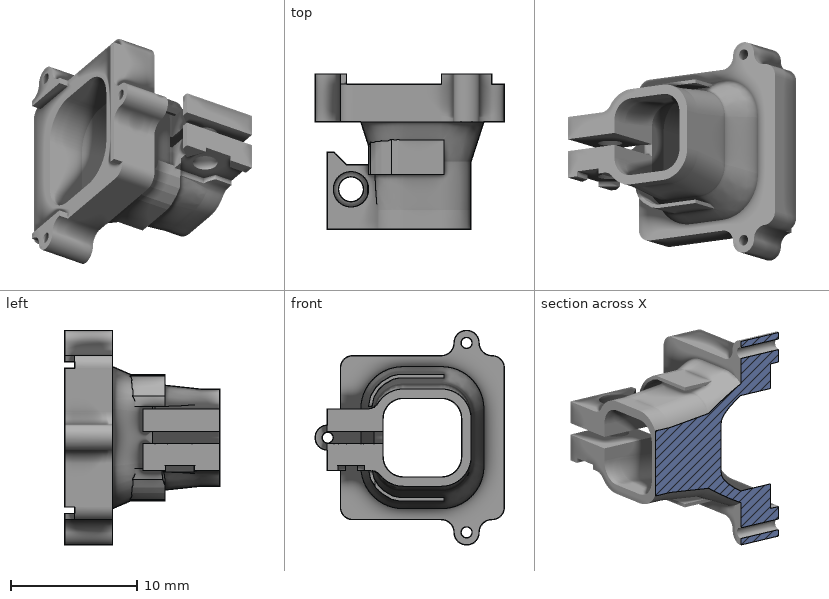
import cadquery as cq
import math


flange_side = 13.0
flange_corner_radius = 1.0
flange_depth = 3.8
recess_depth = 0.8
ear_radius = 1.0
ear_hole_diameter = 0.85
ear_offset = flange_side / 2 + ear_radius
ear_x = 3.5
rim_width = 0.5
side_lug_length = flange_side - 2 * flange_corner_radius

horn_length = 8.5
mouth_length = 1.5
waist_y = -3.16
taper_end_y = mouth_length - horn_length
horn_wall = 0.75
root_size = (9.75, 11.25)
waist_size = (7.7, 8.52)
mouth_size = (7.7, 7.7)
root_corner_radius = 3.35
neck_corner_radius = 2.33

clamp_left = -7.55
clamp_top = 2.28
clamp_bottom = -2.62
clamp_rear_y = -3.37
spur_y = -2.39
spur_tip_width = 0.55
slit_width = 0.96
blend_radius = 1.0

screw_x = -5.65
screw_y = -5.33
screw_hole_diameter = 1.95
screw_head_diameter = 2.8
screw_head_depth = 0.9
nut_across_flats = 3.9
nut_pocket_depth = 0.4
nut_slot_width = 2.1
nut_cut_height = 2.5

lip_thickness = 0.28
lip_start_y = -0.6
lip_front_y = -4.17
lip_end_x = 1.72
lip_top = 5.0
lip_corner_points = [
    (-1.9, lip_top),
    (-2.45, 4.88),
    (-3.23, 4.42),
    (-3.68, 3.98),
    (-4.1, 3.3),
    (-4.27, 2.45),
]


def section_at(y):
    """Workplane at the given y, with local x along +X and local y along +Z, extruding to -Y."""
    return cq.Workplane("XZ", origin=(0, y, 0))


def rounded_prism(size, corner_radius, y_start, y_end):
    block = section_at(y_start).rect(*size).extrude(y_start - y_end)
    return block.edges("|Y").fillet(corner_radius)


def rounded_rectangle(size, corner_radius):
    return cq.Sketch().rect(*size).vertices().fillet(corner_radius)


def rounded_taper(size_start, radius_start, y_start, size_end, radius_end, y_end):
    start = rounded_rectangle(size_start, radius_start)
    end = rounded_rectangle(size_end, radius_end).moved(cq.Location(cq.Vector(0, 0, y_start - y_end)))
    return section_at(y_start).placeSketch(start, end).loft(ruled=True)


def shrink(size, amount):
    return tuple(side - 2 * amount for side in size)


def make_ear():
    """Ear on the +Z edge at x = 0, flared into the flange by concave arcs of the ear radius."""
    edge = flange_side / 2
    arc_shift = ear_radius * math.sqrt(0.5)
    inner_edge = edge - rim_width
    return (
        section_at(flange_depth)
        .moveTo(-2 * ear_radius, inner_edge)
        .lineTo(-2 * ear_radius, edge)
        .threePointArc((-2 * ear_radius + arc_shift, ear_offset - arc_shift), (-ear_radius, ear_offset))
        .threePointArc((0, ear_offset + ear_radius), (ear_radius, ear_offset))
        .threePointArc((2 * ear_radius - arc_shift, ear_offset - arc_shift), (2 * ear_radius, edge))
        .lineTo(2 * ear_radius, inner_edge)
        .close()
        .extrude(flange_depth)
    )


def make_flange():
    recess_y = flange_depth - recess_depth
    flange = rounded_prism((flange_side, flange_side), flange_corner_radius, recess_y, 0)
    side_lug = (
        section_at(flange_depth)
        .center((rim_width - flange_side) / 2, 0)
        .rect(rim_width, side_lug_length)
        .extrude(flange_depth)
    )
    top_ear = make_ear().translate((ear_x, 0, 0))
    side_ear = make_ear().rotate((0, 0, 0), (0, 1, 0), -90)
    flange = flange.union(side_lug).union(side_ear)
    flange = flange.union(top_ear).union(top_ear.mirror("XY"))
    ear_centres = [(ear_x, ear_offset), (ear_x, -ear_offset), (-ear_offset, 0)]
    holes = section_at(flange_depth).pushPoints(ear_centres).circle(ear_hole_diameter / 2).extrude(flange_depth)
    return flange.cut(holes)


def make_horn(inset):
    """Horn body drawn inward by the inset: zero for the outside, the wall for the bore."""
    root = shrink(root_size, inset)
    waist = shrink(waist_size, inset)
    mouth = shrink(mouth_size, inset)
    root_radius = root_corner_radius - inset
    neck_radius = neck_corner_radius - inset
    horn = rounded_taper(root, root_radius, 0, waist, neck_radius, waist_y)
    horn = horn.union(rounded_taper(waist, neck_radius, waist_y, mouth, neck_radius, taper_end_y))
    return horn.union(rounded_prism(mouth, neck_radius, taper_end_y, -horn_length))


def make_bore():
    """Horn bore, carried straight through the flange from the root of the horn."""
    root = shrink(root_size, horn_wall)
    return make_horn(horn_wall).union(rounded_prism(root, root_corner_radius - horn_wall, flange_depth, 0))


def make_clamp():
    """Clamp block whose rear corner runs out into a spur with a 45 degree flank."""
    bore_left = horn_wall - mouth_size[0] / 2
    spur_right = clamp_left + spur_tip_width
    spur_height = spur_y - clamp_rear_y
    return (
        cq.Workplane("XY", origin=(0, 0, clamp_bottom))
        .moveTo(clamp_left, -horn_length)
        .lineTo(clamp_left, spur_y)
        .lineTo(spur_right, spur_y)
        .lineTo(spur_right + spur_height, clamp_rear_y)
        .lineTo(bore_left, clamp_rear_y)
        .lineTo(bore_left, -horn_length)
        .close()
        .extrude(clamp_top - clamp_bottom)
    )


def make_blend(clamp_height):
    """Concave strip joining the clamp face at z = clamp_height to the round horn corner above it."""
    corner_x = -mouth_size[0] / 2 + neck_corner_radius
    corner_z = mouth_size[1] / 2 - neck_corner_radius
    reach = neck_corner_radius + blend_radius
    rise = clamp_height + blend_radius - corner_z
    run = math.sqrt(reach**2 - rise**2)
    centre = (corner_x - run, clamp_height + blend_radius)
    touch_angle = math.atan2(-rise, run)
    mid_angle = (touch_angle - math.pi / 2) / 2

    def on_blend(angle):
        return (centre[0] + blend_radius * math.cos(angle), centre[1] + blend_radius * math.sin(angle))

    return (
        section_at(clamp_rear_y)
        .moveTo(centre[0], clamp_height)
        .threePointArc(on_blend(mid_angle), on_blend(touch_angle))
        .lineTo(corner_x, corner_z)
        .lineTo(centre[0], corner_z)
        .close()
        .extrude(horn_length + clamp_rear_y)
    )


def heading(start, end):
    """Direction from start to end as an angle from 0 to a full turn."""
    return math.atan2(end[1] - start[1], end[0] - start[0]) % (2 * math.pi)


def inward_corner(before, corner, after):
    """Corner moved to the inner side of its two facets by the lip thickness."""
    heading_in = heading(before, corner)
    heading_out = heading(corner, after)
    normal = (heading_in + heading_out) / 2 + math.pi / 2
    distance = lip_thickness / math.cos((heading_out - heading_in) / 2)
    return (corner[0] + distance * math.cos(normal), corner[1] + distance * math.sin(normal))


def make_lip():
    """Thin lip over the +Z side of the horn, following its -X corner in flat facets."""
    outside = [(lip_end_x, lip_top)] + lip_corner_points
    inside = [(lip_end_x, lip_top - lip_thickness)]
    for before, corner, after in zip(outside, outside[1:], outside[2:]):
        inside.append(inward_corner(before, corner, after))
    end_x, end_z = outside[-1]
    inside.append((end_x + lip_thickness, end_z))
    outline = outside + inside[::-1]
    return section_at(lip_start_y).polyline(outline).close().extrude(lip_start_y - lip_front_y)


def make_slit(rear_y):
    """Slot splitting the clamp lengthwise, from the front face back to rear_y, and open to the bore."""
    return (
        section_at(rear_y)
        .center(clamp_left / 2, 0)
        .rect(-clamp_left, slit_width)
        .extrude(rear_y + horn_length)
    )


def make_screw_hole():
    """Through hole with a flat counterbore in the top of the clamp."""
    top = cq.Workplane("XY", origin=(screw_x, screw_y, clamp_top))
    hole = top.circle(screw_hole_diameter / 2).extrude(clamp_bottom - clamp_top)
    return hole.union(top.circle(screw_head_diameter / 2).extrude(-screw_head_depth))


def make_nut_pocket():
    """Hexagonal recess under the clamp, with a slot leading to the front face."""
    nut_across_corners = nut_across_flats / math.cos(math.pi / 6)
    slot_length = horn_length + screw_y
    pocket_top = cq.Workplane("XY", origin=(screw_x, screw_y, clamp_bottom + nut_pocket_depth))
    hexagon = pocket_top.transformed(rotate=(0, 0, 90)).polygon(6, nut_across_corners).extrude(-nut_cut_height)
    slot = pocket_top.center(0, -slot_length / 2).rect(nut_slot_width, slot_length).extrude(-nut_cut_height)
    return hexagon.union(slot)


lip = make_lip()
result = (
    make_flange()
    .union(make_horn(0))
    .union(lip)
    .union(lip.mirror("XY"))
    .union(make_clamp().cut(make_slit(spur_y)))
    .union(make_blend(clamp_top))
    .union(make_blend(-clamp_bottom).mirror("XY"))
    .cut(make_bore())
    .cut(make_slit(waist_y))
    .cut(make_screw_hole())
    .cut(make_nut_pocket())
)